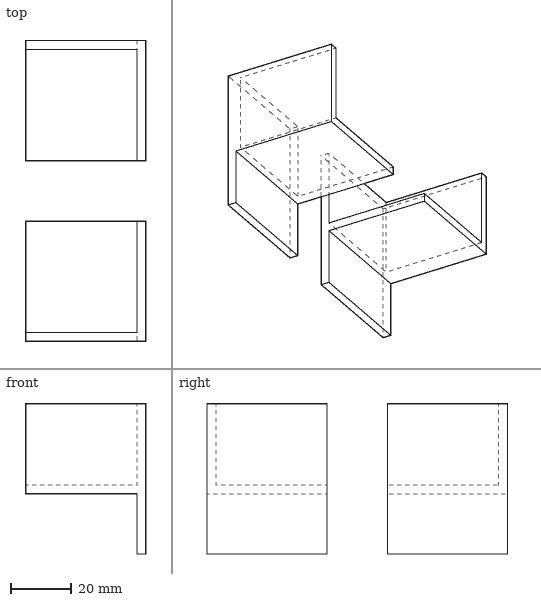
import cadquery as cq

overall_length = 100.0
bracket_size = 40.0
wall = 3.0
tray_height = 30.0
skirt_drop = 20.0

overall_height = tray_height + skirt_drop


def plate(size_x, size_y, size_z, corner):
    """Rectangular plate placed by its minimum corner."""
    return cq.Workplane("XY").box(size_x, size_y, size_z, centered=False).translate(corner)


def corner_bracket():
    """Bracket with its side wall at the -Y end and its back plate on the +X side."""
    floor = plate(bracket_size, bracket_size, wall, (0, 0, skirt_drop))
    side_wall = plate(bracket_size, wall, tray_height, (0, 0, skirt_drop))
    back_plate = plate(wall, bracket_size, overall_height, (bracket_size - wall, 0, 0))
    return floor.union(side_wall).union(back_plate)


brackets = []
for mirrored in (False, True):
    bracket = corner_bracket()
    if mirrored:
        bracket = bracket.mirror("XZ", (0, overall_length / 2, 0))
    brackets.append(bracket.val())

result = cq.Compound.makeCompound(brackets)